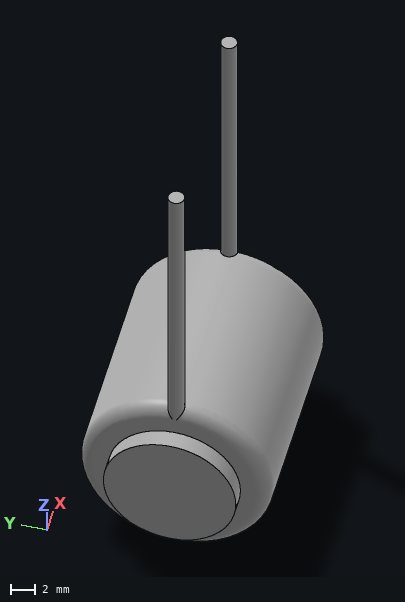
import cadquery as cq

overall_length = 22.35
overall_height = 41.53
body_diameter = 16.26
body_edge_radius = 1.25
core_diameter = 11.2
lead_diameter = 1.4
lead_spacing = 17.78

body_length = lead_spacing + lead_diameter
lead_top = overall_height - body_diameter / 2


def revolved_rod(diameter, length, edge_radius=0):
    """Round rod on the X axis, centred on the origin, with its end edges optionally rounded."""
    rod = (
        cq.Workplane("XY")
        .moveTo(-length / 2, 0)
        .lineTo(-length / 2, -diameter / 2)
        .lineTo(length / 2, -diameter / 2)
        .lineTo(length / 2, 0)
        .close()
        .revolve(360, (0, 0, 0), (1, 0, 0))
    )
    if edge_radius > 0:
        rod = rod.edges("%CIRCLE").fillet(edge_radius)
    return rod


def lead(side):
    """Straight round wire rising from the body axis height, at the -X (-1) or +X (+1) end."""
    wire = cq.Workplane("XY").center(lead_spacing / 2, 0).circle(lead_diameter / 2).extrude(lead_top)
    if side < 0:
        wire = wire.rotate((0, 0, 0), (0, 0, 1), 180)
    return wire


winding_body = revolved_rod(body_diameter, body_length, body_edge_radius)
core = revolved_rod(core_diameter, overall_length)

result = winding_body.union(core)
for side in (-1, 1):
    result = result.union(lead(side))